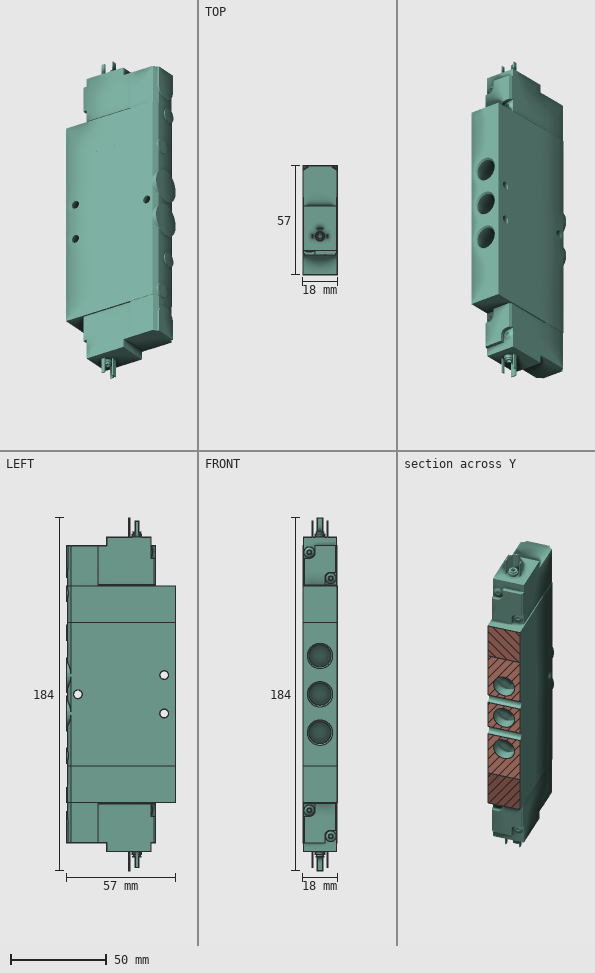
import cadquery as cq


BODY_WIDTH = 18.0
CENTRE_END_Z = 37.5
END_BLOCK_END_Z = 56.5
PILOT_WIDTH = 17.5
PILOT_END_Z = 77.5
BACK_Y = 56.5
CHAMFER_ON_BACK = 3.0
CHAMFER_ON_SIDE = 1.8
PILOT_FRONT_Y = 40.5

RAISED_Y = 57.0
BOSS_DIAMETER = 18.1
BOSS_Z = 10.0
BOSS_ROOT_Y = BACK_Y - CHAMFER_ON_SIDE
DISC_DIAMETER = 8.0
DISC_X = 3.0
DETAIL_ROOT_Y = 55.0
DISC_INNER_Z = 32.0
DISC_OUTER_Z = 52.5
PAD_WIDTH = 13.0
PAD_START_Z = 61.0

PORT_DIAMETER = 11.45
PORT_MOUTH_DIAMETER = 13.2
PORT_DEPTH = 12.0
PORT_PITCH = 20.0
MOUNT_HOLE_DIAMETER = 4.4
MOUNT_HOLES = [(6.0, PORT_PITCH / 2), (6.0, -PORT_PITCH / 2), (51.0, 0.0)]

COIL_WIDTH = 17.3
COIL_GAP = 0.5
COIL_START_Z = END_BLOCK_END_Z + COIL_GAP
COIL_END_Z = 82.0
COIL_STEP_Y = 36.0
COIL_FRONT_Y = 12.8
COVER_FRONT_Y = 10.5
COVER_STEP = 0.6
COVER_STEP_Y = 11.3

COVER_MID_Z = (COIL_START_Z + PILOT_END_Z) / 2
SCREW_X = 5.6
SCREW_OFFSET_Z = 6.75
POCKET_RADIUS = 3.1
SCREW_HEAD_DIAMETER = 5.6
SCREW_TOP_DIAMETER = 2.5
SCREW_HEAD_HEIGHT = 0.7
SCREW_SOCKET_DIAMETER = 2.0
SCREW_SOCKET_DEPTH = 0.6

HUB_Y = 20.2
HUB_DIAMETER = 5.0
HUB_HEIGHT = 1.6
NECK_DIAMETER = 3.8
NECK_HEIGHT = 0.9
RIM_DIAMETER = 4.4
RIM_HEIGHT = 0.2
HUB_BORE_DIAMETER = 2.5
HUB_BORE_DEPTH = 2.5
BLADE_THICKNESS = 0.6
SIDE_BLADE_X = 3.9
SIDE_BLADE_WIDTH = 2.0
SIDE_BLADE_END_Z = 90.3
EARTH_BLADE_Y = 24.2
EARTH_BLADE_WIDTH = 3.0
EARTH_BLADE_END_Z = 92.0


def box(x0, x1, y0, y1, z0, z1):
    """Box between the given limits."""
    return cq.Workplane("XY").box(x1 - x0, y1 - y0, z1 - z0, centered=False).translate((x0, y0, z0))


def bar(width, y0, y1, z0, z1):
    """Box centred on X = 0."""
    return box(-width / 2, width / 2, y0, y1, z0, z1)


def round_along_y(diameter, x, z, y0, y1):
    """Cylinder along Y between y0 and y1."""
    plane = cq.Plane(origin=(x, y0, z), xDir=(1, 0, 0), normal=(0, 1, 0))
    return cq.Workplane(plane).circle(diameter / 2).extrude(y1 - y0)


def cone_along_y(start_diameter, end_diameter, x, z, y0, y1):
    """Truncated cone along Y, start_diameter at y0 and end_diameter at y1."""
    direction = 1 if y1 > y0 else -1
    cone = cq.Solid.makeCone(
        start_diameter / 2, end_diameter / 2, abs(y1 - y0), cq.Vector(x, y0, z), cq.Vector(0, direction, 0)
    )
    return cq.Workplane(cone)


def round_along_z(diameter, y, z0, z1):
    """Cylinder along Z on the plane X = 0."""
    return cq.Workplane("XY", origin=(0, y, z0)).circle(diameter / 2).extrude(z1 - z0)


def turned(shape):
    """Half a turn about the Y axis: from the upper end to the lower end."""
    return shape.rotate((0, 0, 0), (0, 1, 0), 180)


def chamfered_bar(width, y0, z0, z1):
    """Bar up to the back face, with both back edges chamfered."""
    side = width / 2
    flat = side - CHAMFER_ON_BACK
    shoulder_y = BACK_Y - CHAMFER_ON_SIDE
    outline = [
        (-side, y0), (side, y0), (side, shoulder_y), (flat, BACK_Y), (-flat, BACK_Y), (-side, shoulder_y),
    ]
    return cq.Workplane("XY", origin=(0, 0, z0)).polyline(outline).close().extrude(z1 - z0)


def port(z):
    """Blind port in the front face, with a 45 degree mouth."""
    mouth_depth = (PORT_MOUTH_DIAMETER - PORT_DIAMETER) / 2
    bore = round_along_y(PORT_DIAMETER, 0, z, 0, PORT_DEPTH)
    return bore.union(cone_along_y(PORT_MOUTH_DIAMETER, PORT_DIAMETER, 0, z, 0, mouth_depth))


def disc(x, z):
    """Raised disc on the back."""
    return round_along_y(DISC_DIAMETER, x, z, DETAIL_ROOT_Y, RAISED_Y)


def port_boss():
    """Raised port boss on the upper half of the centre block, flattened at the block sides."""
    boss = round_along_y(BOSS_DIAMETER, 0, BOSS_Z, BOSS_ROOT_Y, RAISED_Y)
    return boss.intersect(bar(BODY_WIDTH, BOSS_ROOT_Y, RAISED_Y, 0, CENTRE_END_Z))


def pilot_pad():
    """Raised pad on the back of the upper pilot block, rounded at its lower end."""
    pad_centre_z = PAD_START_Z + PAD_WIDTH / 2
    pad = bar(PAD_WIDTH, DETAIL_ROOT_Y, RAISED_Y, pad_centre_z, PILOT_END_Z)
    return pad.union(round_along_y(PAD_WIDTH, 0, pad_centre_z, DETAIL_ROOT_Y, RAISED_Y))


def make_centre_block():
    block = chamfered_bar(BODY_WIDTH, 0, -CENTRE_END_Z, CENTRE_END_Z)
    for detail in (port_boss(), disc(DISC_X, DISC_INNER_Z)):
        block = block.union(detail).union(turned(detail))
    for z in (-PORT_PITCH, 0, PORT_PITCH):
        block = block.cut(port(z))
    holes = cq.Workplane("YZ").pushPoints(MOUNT_HOLES).circle(MOUNT_HOLE_DIAMETER / 2)
    return block.cut(holes.extrude(BODY_WIDTH, both=True))


def screw_pocket(x, z, side):
    """Corner of the cover left open for a screw; side is -1 for the upper left, 1 for the lower right."""
    beyond = side * PILOT_WIDTH
    pocket = round_along_y(2 * POCKET_RADIUS, x, z, COVER_FRONT_Y, COIL_FRONT_Y)
    inner_x = x - side * POCKET_RADIUS
    inner_z = z + side * POCKET_RADIUS
    for x_limit, z_limit in ((inner_x, z), (x, inner_z)):
        x0, x1 = sorted((x_limit, x + beyond))
        z0, z1 = sorted((z_limit, z - beyond))
        pocket = pocket.union(box(x0, x1, COVER_FRONT_Y, COIL_FRONT_Y, z0, z1))
    return pocket


def screw_head(x, z):
    """Conical screw head with a round socket, standing on the pocket floor."""
    top_y = COIL_FRONT_Y - SCREW_HEAD_HEIGHT
    head = cone_along_y(SCREW_HEAD_DIAMETER, SCREW_TOP_DIAMETER, x, z, COIL_FRONT_Y, top_y)
    return head.cut(round_along_y(SCREW_SOCKET_DIAMETER, x, z, top_y, top_y + SCREW_SOCKET_DEPTH))


def make_cover():
    """Front cover of the coil, stepped along both sides, with its two screws."""
    cover = bar(COIL_WIDTH, COVER_STEP_Y, COIL_FRONT_Y, COIL_START_Z, PILOT_END_Z)
    front_width = COIL_WIDTH - 2 * COVER_STEP
    cover = cover.union(bar(front_width, COVER_FRONT_Y, COVER_STEP_Y, COIL_START_Z, PILOT_END_Z))
    screws = [(side * SCREW_X, COVER_MID_Z - side * SCREW_OFFSET_Z, side) for side in (-1, 1)]
    for x, z, side in screws:
        cover = cover.cut(screw_pocket(x, z, side))
    for x, z, _ in screws:
        cover = cover.union(screw_head(x, z))
    return cover


def make_contacts():
    """Bored hub with a rim, two side blades and the earth blade."""
    neck_z = COIL_END_Z + HUB_HEIGHT
    rim_z = neck_z + NECK_HEIGHT
    top_z = rim_z + RIM_HEIGHT
    contacts = round_along_z(HUB_DIAMETER, HUB_Y, COIL_END_Z, neck_z)
    contacts = contacts.union(round_along_z(NECK_DIAMETER, HUB_Y, neck_z, rim_z))
    contacts = contacts.union(round_along_z(RIM_DIAMETER, HUB_Y, rim_z, top_z))
    contacts = contacts.cut(round_along_z(HUB_BORE_DIAMETER, HUB_Y, top_z - HUB_BORE_DEPTH, top_z))
    half = BLADE_THICKNESS / 2
    side_y0 = HUB_Y - SIDE_BLADE_WIDTH / 2
    side_y1 = HUB_Y + SIDE_BLADE_WIDTH / 2
    for x in (-SIDE_BLADE_X, SIDE_BLADE_X):
        contacts = contacts.add(box(x - half, x + half, side_y0, side_y1, COIL_END_Z, SIDE_BLADE_END_Z))
    earth_y0 = EARTH_BLADE_Y - half
    earth_y1 = EARTH_BLADE_Y + half
    return contacts.add(bar(EARTH_BLADE_WIDTH, earth_y0, earth_y1, COIL_END_Z, EARTH_BLADE_END_Z))


def make_coil():
    """Coil of the upper head, with its cover and contacts."""
    coil = bar(COIL_WIDTH, COIL_FRONT_Y, COIL_STEP_Y, COIL_START_Z, COIL_END_Z)
    coil = coil.union(bar(COIL_WIDTH, COIL_STEP_Y, PILOT_FRONT_Y, COIL_START_Z, PILOT_END_Z))
    coil = coil.union(make_cover())
    for contact in make_contacts().vals():
        coil = coil.union(cq.Workplane(contact))
    return coil


def make_head():
    """Solenoid head at the upper end of the valve."""
    head = chamfered_bar(BODY_WIDTH, 0, CENTRE_END_Z, END_BLOCK_END_Z)
    head = head.union(chamfered_bar(PILOT_WIDTH, PILOT_FRONT_Y, END_BLOCK_END_Z, PILOT_END_Z))
    head = head.union(disc(-DISC_X, DISC_OUTER_Z)).union(pilot_pad())
    return head.union(make_coil())


centre_block = make_centre_block()
upper_head = make_head()
heads = [upper_head, turned(upper_head)]

result = cq.Compound.makeCompound([centre_block.val(), *[head.val() for head in heads]])